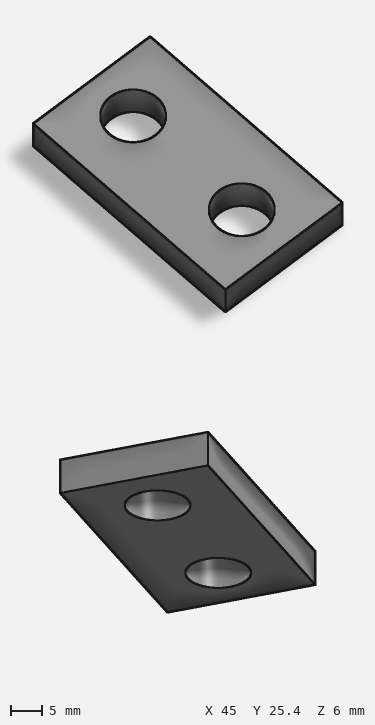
import cadquery as cq

length = 44.95
width = 25.4
thickness = 6.0

hole_diameter = 10.45
hole_spacing = width
first_hole_from_end = 9.7

plate = cq.Workplane("XY").box(length, width, thickness)

first_hole_x = first_hole_from_end - length / 2
hole_centres = [(first_hole_x, 0), (first_hole_x + hole_spacing, 0)]
result = plate.faces(">Z").workplane().pushPoints(hole_centres).hole(hole_diameter)